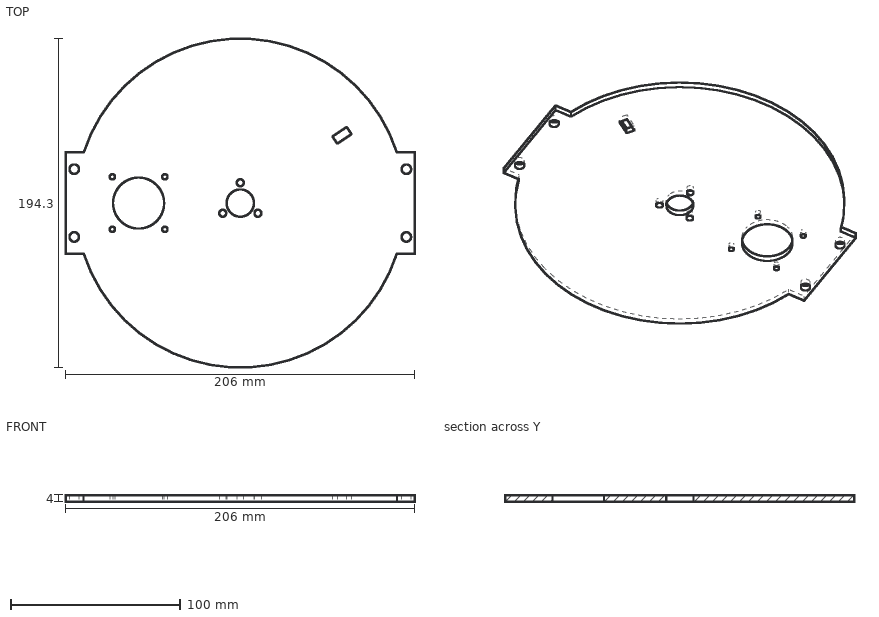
import cadquery as cq
import math

thickness = 4.0
disc_diameter = 194.31
overall_length = 206.0
tab_width = 60.0

tab_hole_diameter = 5.5
tab_hole_edge_distance = 5.0
tab_hole_spacing = 40.0

bore_diameter = 16.0
bore_screw_diameter = 4.0
bore_screw_count = 3
bore_screw_circle_radius = 12.0
bore_screw_start_angle = 90.0

motor_x = -60.0
motor_opening_diameter = 30.0
motor_screw_diameter = 3.0
motor_screw_spacing = 31.0

slot_x = 60.0
slot_y = 40.0
slot_length = 10.0
slot_width = 5.0
slot_angle = math.degrees(math.atan2(slot_y, slot_x))


def make_plate():
    """Round disc joined to a bar whose ends form the side tabs."""
    disc = cq.Workplane("XY").circle(disc_diameter / 2).extrude(thickness)
    bar = cq.Workplane("XY").rect(overall_length, tab_width).extrude(thickness)
    return disc.union(bar)


def hole_cutter(points, diameter):
    """Cylinders through the full thickness at the given points."""
    return cq.Workplane("XY").pushPoints(points).circle(diameter / 2).extrude(thickness)


def cut_tab_holes(plate):
    pitch = overall_length - 2 * tab_hole_edge_distance
    points = [(sx * pitch / 2, sy * tab_hole_spacing / 2) for sx in (-1, 1) for sy in (-1, 1)]
    return plate.cut(hole_cutter(points, tab_hole_diameter))


def cut_bore(plate):
    points = []
    for i in range(bore_screw_count):
        angle = math.radians(bore_screw_start_angle + i * 360 / bore_screw_count)
        x = bore_screw_circle_radius * math.cos(angle)
        y = bore_screw_circle_radius * math.sin(angle)
        points.append((x, y))
    plate = plate.cut(hole_cutter([(0, 0)], bore_diameter))
    return plate.cut(hole_cutter(points, bore_screw_diameter))


def cut_motor_mount(plate):
    offset = motor_screw_spacing / 2
    points = [(motor_x + sx * offset, sy * offset) for sx in (-1, 1) for sy in (-1, 1)]
    plate = plate.cut(hole_cutter([(motor_x, 0)], motor_opening_diameter))
    return plate.cut(hole_cutter(points, motor_screw_diameter))


def cut_slot(plate):
    slot = (
        cq.Workplane("XY")
        .rect(slot_length, slot_width)
        .extrude(thickness)
        .rotate((0, 0, 0), (0, 0, 1), slot_angle)
        .translate((slot_x, slot_y, 0))
    )
    return plate.cut(slot)


result = make_plate()
result = cut_tab_holes(result)
result = cut_bore(result)
result = cut_motor_mount(result)
result = cut_slot(result)